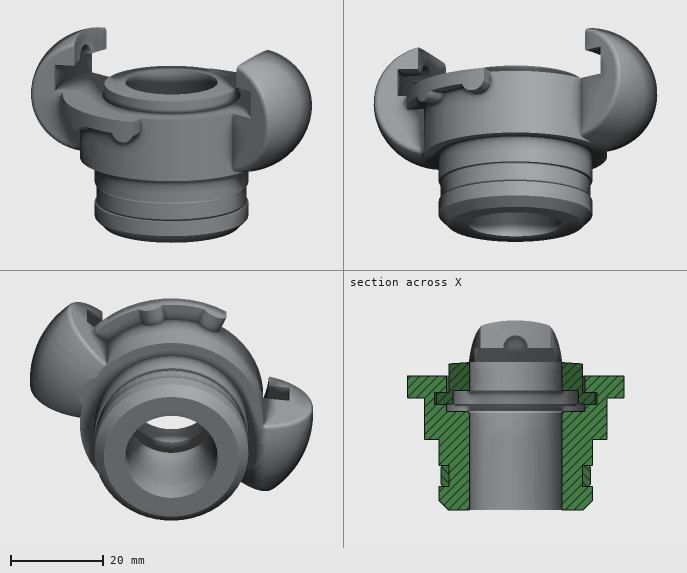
import cadquery as cq
import math

neck_diameter = 33.25
neck_chamfer = 2.0
ring_diameter = 32.5
groove_diameter = 29.1
groove_bottom = 5.2
groove_top = 9.65
ring_chamfer = 0.45

collar_diameter = 39.7
collar_bottom = 15.25
collar_top = 29.0
bore_diameter = 20.0
bore_chamfer = 0.45
seat_diameter = 30.0
seat_floor = 21.4

seal_diameter = 29.0
seal_top = 32.0
seal_edge_drop = 0.3
seal_lip_thickness = 6.1
seal_cavity_diameter = 27.0
seal_bottom = 22.9
seal_flange_diameter = 34.5
seal_flange_top = 25.45
flange_groove_diameter = 35.0

lug_radius = 23.5
lug_bottom = 26.0
bump_radius = 2.65
bump_bottom = 24.25
bump_angles = (0, 35)

claw_reach = 31.5
claw_axis_x = 18.25
claw_axis_z = 28.1
crown_radius = 21.4
barrel_half_length = 11.35
claw_root_x = 19.65
claw_root_half_width = 7.55
claw_side_slope = 0.32
claw_edge_fillet = 0.9
hook_inner_radius = 21.1
hook_bottom = 35.1
slot_radius = 25.5

cut_size = 2 * claw_reach


def cylinder(diameter, bottom, top):
    return cq.Workplane("XY").workplane(offset=bottom).circle(diameter / 2).extrude(top - bottom)


def make_lug():
    """Partial flange with two radial bumps under it, on the -Y side."""
    envelope = cylinder(2 * lug_radius, bump_bottom, collar_top)
    sector = cq.Workplane("XY").box(
        cut_size, cut_size, cut_size, centered=(False, False, False)
    ).translate((bump_radius - cut_size, -cut_size, 0))
    plate = cylinder(2 * lug_radius, lug_bottom, collar_top)
    for angle in bump_angles:
        bump = cq.Workplane("XZ").center(0, bump_bottom + bump_radius).circle(bump_radius).extrude(cut_size)
        plate = plate.union(bump.rotate((0, 0, 0), (0, 0, 1), -angle).intersect(envelope))
    return plate.intersect(sector).cut(cylinder(seat_diameter, 0, cut_size))


def make_claw():
    """Barrel-shaped claw on the +X side with a slot and a bump notch under its hook."""
    profile_radius = claw_reach - claw_axis_x
    end_radius = profile_radius - crown_radius + math.sqrt(crown_radius**2 - barrel_half_length**2)
    barrel = (
        cq.Workplane("XY")
        .moveTo(0, -barrel_half_length)
        .lineTo(end_radius, -barrel_half_length)
        .threePointArc((profile_radius, 0), (end_radius, barrel_half_length))
        .lineTo(0, barrel_half_length)
        .close()
        .revolve(360, (0, 0, 0), (0, 1, 0))
        .translate((claw_axis_x, 0, claw_axis_z))
    )
    inner_x = seat_diameter / 2
    inner_half = claw_root_half_width + claw_side_slope * (inner_x - claw_root_x)
    outer_half = inner_half + claw_side_slope * (cut_size - inner_x)
    wedge = (
        cq.Workplane("XY")
        .polyline([(inner_x, -inner_half), (cut_size, -outer_half), (cut_size, outer_half), (inner_x, inner_half)])
        .close()
        .extrude(cut_size)
    )
    claw = barrel.intersect(wedge)
    claw = claw.faces(">X").edges().fillet(claw_edge_fillet)
    claw = claw.cut(cylinder(2 * hook_inner_radius, collar_top, cut_size))
    claw = claw.cut(cylinder(2 * slot_radius, collar_top, hook_bottom))
    notch = cq.Workplane("YZ").center(0, hook_bottom).circle(bump_radius).extrude(slot_radius)
    claw = claw.cut(notch.intersect(cylinder(2 * slot_radius, collar_top, cut_size)))
    claw = claw.cut(cylinder(2 * cut_size, 0, collar_bottom))
    return claw.cut(cylinder(seat_diameter, 0, cut_size))


def make_housing():
    housing = cylinder(neck_diameter, 0, collar_bottom).faces("<Z").chamfer(neck_chamfer)
    housing = housing.union(cylinder(collar_diameter, collar_bottom, collar_top))
    for half_turn in (0, 180):
        for feature in (make_lug(), make_claw()):
            housing = housing.union(feature.rotate((0, 0, 0), (0, 0, 1), half_turn))
    groove = cylinder(neck_diameter, groove_bottom, groove_top)
    groove = groove.cut(cylinder(groove_diameter, groove_bottom, groove_top))
    bore = cylinder(bore_diameter, 0, seat_floor)
    bore_mouth = (
        cq.Workplane("XY").workplane(offset=seat_floor).circle(bore_diameter / 2 + bore_chamfer)
        .workplane(offset=-bore_chamfer).circle(bore_diameter / 2).loft(ruled=True)
    )
    seat = cylinder(seat_diameter, seat_floor, collar_top)
    flange_groove = cylinder(flange_groove_diameter, seal_bottom, seal_flange_top)
    return housing.cut(groove).cut(bore).cut(bore_mouth).cut(seat).cut(flange_groove)


def make_ring():
    """Sealing ring that fills the neck groove."""
    ring = cylinder(ring_diameter, groove_bottom, groove_top).edges().chamfer(ring_chamfer)
    return ring.cut(cylinder(groove_diameter, groove_bottom, groove_top))


def make_seal():
    """Seal with a lip around its bore, a wider cavity below and a retaining flange outside."""
    outer = seal_diameter / 2
    flange = seal_flange_diameter / 2
    bore = bore_diameter / 2
    cavity = seal_cavity_diameter / 2
    lip_bottom = seal_top - seal_lip_thickness
    return (
        cq.Workplane("XZ")
        .polyline([
            (cavity, seal_bottom),
            (flange, seal_bottom),
            (flange, seal_flange_top),
            (outer, seal_flange_top),
            (outer, seal_top - seal_edge_drop),
            (bore, seal_top),
            (bore, lip_bottom),
            (cavity, lip_bottom),
        ])
        .close()
        .revolve(360, (0, 0, 0), (0, 1, 0))
    )


housing = make_housing()
ring = make_ring()
seal = make_seal()
result = cq.Compound.makeCompound([housing.val(), ring.val(), seal.val()])